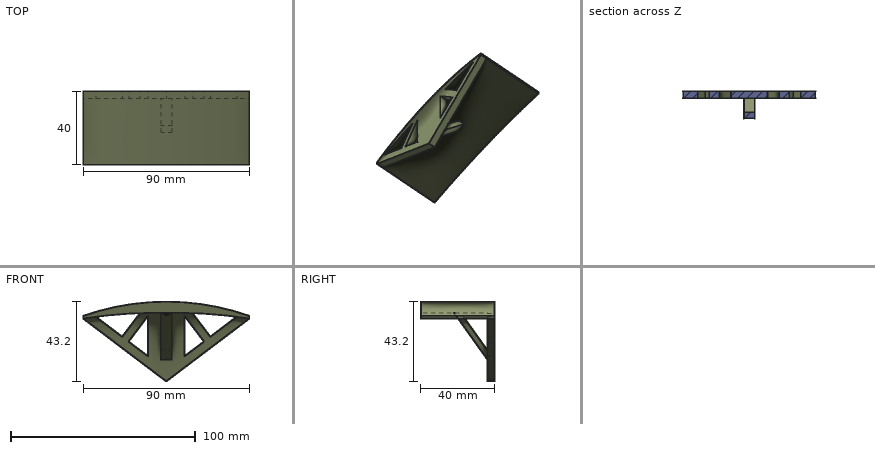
import cadquery as cq
import math

width = 90.0
depth = 40.0
height = 43.2
half_width = width / 2

shelf_edge_bottom = 34.0
shelf_edge_thickness = 1.4
shelf_middle_bottom = 37.3
shelf_edge_top = shelf_edge_bottom + shelf_edge_thickness

bracket_thickness = 4.0
rim_width = 4.95
post_half_width = 10.0
strut_width = 4.4
strut_distance = 25.5

brace_width = 5.9
brace_foot_bottom = 11.8
brace_foot_height = 5.1
brace_slope = 1.4

rim_length = math.hypot(half_width, shelf_edge_bottom)
rim_x = half_width / rim_length
rim_z = shelf_edge_bottom / rim_length
rim_slope = rim_z / rim_x
rim_inner_start = rim_width / rim_x


def under_shelf(sketch):
    """Close a profile along the curved underside, from the right end to the left."""
    return sketch.threePointArc((0, shelf_middle_bottom), (-half_width, shelf_edge_bottom))


def make_shelf():
    profile = under_shelf(cq.Workplane("XZ").moveTo(half_width, shelf_edge_bottom))
    profile = (
        profile.lineTo(-half_width, shelf_edge_top)
        .threePointArc((0, height), (half_width, shelf_edge_top))
        .close()
    )
    return profile.extrude(depth)


def make_window():
    """Opening on the +X side between the post, the rim and the shelf."""
    window_bottom = rim_inner_start + rim_slope * post_half_width
    opening = (
        cq.Workplane("XZ")
        .moveTo(post_half_width, window_bottom)
        .lineTo(half_width, rim_inner_start + rim_slope * half_width)
        .lineTo(post_half_width, height)
        .close()
        .extrude(bracket_thickness)
    )
    foot_x = strut_distance * rim_x
    foot_z = rim_inner_start + strut_distance * rim_z
    far_x = foot_x + strut_width * rim_x
    far_z = foot_z + strut_width * rim_z
    run_x = -height * rim_z
    run_z = height * rim_x
    strut = (
        cq.Workplane("XZ")
        .moveTo(foot_x, foot_z)
        .lineTo(far_x, far_z)
        .lineTo(far_x + run_x, far_z + run_z)
        .lineTo(foot_x + run_x, foot_z + run_z)
        .close()
        .extrude(bracket_thickness)
    )
    return opening.cut(strut)


def make_bracket():
    outline = cq.Workplane("XZ").lineTo(half_width, shelf_edge_bottom)
    plate = under_shelf(outline).close().extrude(bracket_thickness)
    window = make_window()
    return plate.cut(window).cut(window.mirror("YZ"))


def make_brace():
    """Sloping bar, ending inside the shelf at mid-thickness."""
    top = (shelf_middle_bottom + height) / 2
    foot_top = brace_foot_bottom + brace_foot_height
    lower_reach = bracket_thickness + (top - brace_foot_bottom) / brace_slope
    upper_reach = bracket_thickness + (top - foot_top) / brace_slope
    return (
        cq.Workplane("YZ")
        .moveTo(-bracket_thickness, brace_foot_bottom)
        .lineTo(-lower_reach, top)
        .lineTo(-upper_reach, top)
        .lineTo(-bracket_thickness, foot_top)
        .close()
        .extrude(brace_width / 2, both=True)
    )


result = make_shelf().union(make_bracket()).union(make_brace())